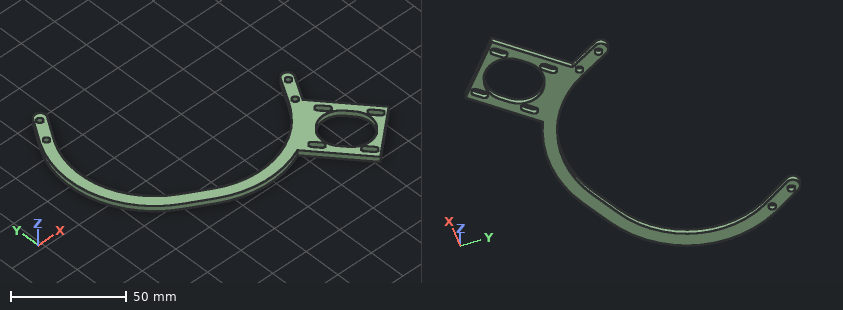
import cadquery as cq
import math

thickness = 3.2
band_tilt = -30.0

band_width = 6.4
mid_radius = 47.8
straight_length = 15.3
arm_length = 15.9
left_arm_lean = 0.5
arm_hole_diameter = 3.2
first_hole_height = 1.7
arm_hole_pitch = 12.6

plate_tilt = -50.0
plate_width = 31.9
plate_center = (52.3, -55.0)
plate_end = 16.6
plate_root = 22.6
slot_travel = 4.4
opening_diameter = 22.3
mount_slot_width = 3.2
mount_slot_pitch = 23.1

inner_radius = mid_radius - band_width / 2
outer_radius = mid_radius + band_width / 2
half_straight = straight_length / 2


def bowl(radius):
    """Area enclosed by the arms, arcs and straight at the given arc radius."""
    side = half_straight + radius
    bend = radius * math.sqrt(0.5)
    return (
        cq.Workplane("XY")
        .moveTo(-side + left_arm_lean, arm_length)
        .lineTo(-side, 0)
        .threePointArc((-half_straight - bend, -bend), (-half_straight, -radius))
        .lineTo(half_straight, -radius)
        .threePointArc((half_straight + bend, -bend), (side, 0))
        .lineTo(side, arm_length)
        .close()
        .extrude(thickness)
    )


def tilt(shape, angle):
    return shape.rotate((0, 0, 0), (0, 0, 1), angle)


arm_x = half_straight + mid_radius
tips = [(-arm_x + left_arm_lean, arm_length), (arm_x, arm_length)]
arm_holes = [
    (side * arm_x, first_hole_height + step * arm_hole_pitch)
    for side in (-1, 1)
    for step in (0, 1)
]
bowl_space = tilt(bowl(inner_radius), band_tilt)
band = bowl(outer_radius).union(
    cq.Workplane("XY").pushPoints(tips).circle(band_width / 2).extrude(thickness)
)
band = tilt(band, band_tilt)
arm_hole_cutter = tilt(
    cq.Workplane("XY").pushPoints(arm_holes).circle(arm_hole_diameter / 2).extrude(thickness),
    band_tilt,
)


def place_on_plate(shape):
    return tilt(shape, plate_tilt).translate((*plate_center, 0))


plate = place_on_plate(
    cq.Workplane("XY")
    .center((plate_end - plate_root) / 2, 0)
    .rect(plate_end + plate_root, plate_width)
    .extrude(thickness)
)
opening = (
    cq.Workplane("XY")
    .slot2D(slot_travel + opening_diameter, opening_diameter)
    .extrude(thickness)
)
mount_slots = (
    cq.Workplane("XY")
    .rect(mount_slot_pitch, mount_slot_pitch, forConstruction=True)
    .vertices()
    .slot2D(slot_travel + mount_slot_width, mount_slot_width)
    .extrude(thickness)
)
plate_cutter = place_on_plate(opening.union(mount_slots))

result = band.union(plate).cut(bowl_space).cut(arm_hole_cutter).cut(plate_cutter)